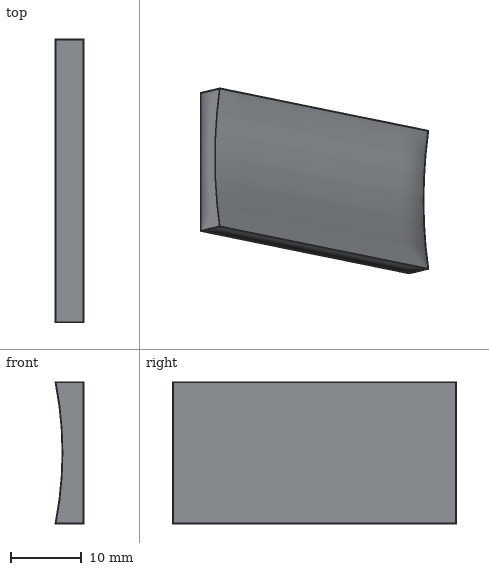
import cadquery as cq
import math

length = 40.0
height = 20.0
center_thickness = 3.0
face_radius = 51.5

half_height = height / 2
sag = face_radius - math.sqrt(face_radius**2 - half_height**2)


def lens_profile():
    """Closed XZ outline with the deepest point of the hollow face at X = 0."""
    return (
        cq.Workplane("XZ")
        .moveTo(-sag, -half_height)
        .lineTo(center_thickness, -half_height)
        .lineTo(center_thickness, half_height)
        .lineTo(-sag, half_height)
        .threePointArc((0, 0), (-sag, -half_height))
        .close()
    )


result = lens_profile().extrude(length / 2, both=True)